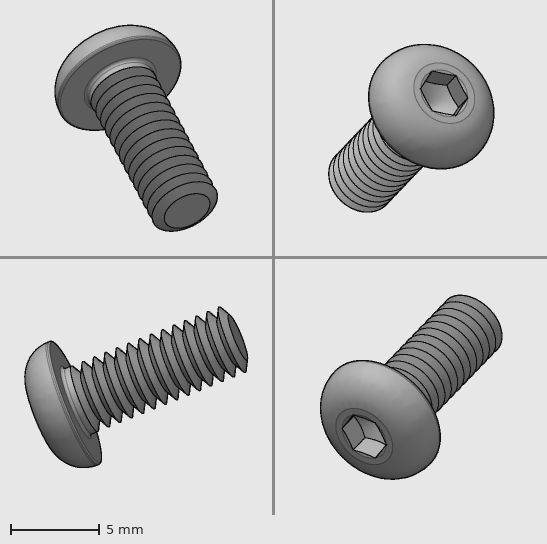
import cadquery as cq
import math

total_length = 12.2

head_diameter = 7.5
head_height = 2.2
face_diameter = head_diameter / 2
dome_height = 2.0
rim_round = 0.1

socket_across_flats = 2.53
socket_depth = 1.3
lead_in_diameter = 2.89
lead_in_half_angle = 75.0
drill_point_half_angle = 60.0

thread_diameter = 4.0
thread_length = 9.1
thread_count = 13
pitch = thread_length / thread_count
flank_angle = 60.0
neck_fillet = 0.2

head_radius = head_diameter / 2
face_radius = face_diameter / 2
crest_radius = thread_diameter / 2
root_radius = crest_radius - pitch / 2 * math.tan(math.radians(flank_angle))
thread_start = total_length - thread_length
socket_corner_radius = socket_across_flats / math.sqrt(3)


def make_body():
    """Revolve the head, neck and thread profile around X."""
    radial_rise = head_radius - face_radius
    dome_radius = (dome_height**2 + radial_rise**2) / (2 * radial_rise)
    dome_center_radius = head_radius - dome_radius
    face_edge_angle = math.atan2(face_radius - dome_center_radius, dome_height)
    middle_angle = (face_edge_angle + math.pi / 2) / 2
    dome_middle = (
        dome_height - dome_radius * math.cos(middle_angle),
        dome_center_radius + dome_radius * math.sin(middle_angle),
    )

    diagonal = math.sqrt(0.5)
    rim_middle = (
        head_height - rim_round * (1 - diagonal),
        head_radius - rim_round * (1 - diagonal),
    )
    neck_middle = (
        head_height + neck_fillet * (1 - diagonal),
        crest_radius + neck_fillet * (1 - diagonal),
    )

    profile = (
        cq.Workplane("XY")
        .lineTo(0, face_radius)
        .threePointArc(dome_middle, (dome_height, head_radius))
        .lineTo(head_height - rim_round, head_radius)
        .threePointArc(rim_middle, (head_height, head_radius - rim_round))
        .lineTo(head_height, crest_radius + neck_fillet)
        .threePointArc(neck_middle, (head_height + neck_fillet, crest_radius))
        .lineTo(thread_start - pitch / 2, crest_radius)
        .lineTo(thread_start, root_radius)
    )
    for index in range(thread_count):
        ring_start = thread_start + index * pitch
        profile = profile.lineTo(ring_start + pitch / 2, crest_radius)
        profile = profile.lineTo(ring_start + pitch, root_radius)
    profile = profile.lineTo(total_length, 0).close()
    return profile.revolve(360, (0, 0, 0), (1, 0, 0))


def make_socket():
    """Hexagon with corners on +Y and -Y, ending in a drill point."""
    point_length = socket_corner_radius / math.tan(math.radians(drill_point_half_angle))
    hexagon = (
        cq.Workplane("YZ")
        .polygon(6, 2 * socket_corner_radius)
        .extrude(socket_depth + point_length)
    )
    pointed_bore = (
        cq.Workplane("XY")
        .lineTo(0, socket_corner_radius)
        .lineTo(socket_depth, socket_corner_radius)
        .lineTo(socket_depth + point_length, 0)
        .close()
        .revolve(360, (0, 0, 0), (1, 0, 0))
    )
    lead_in_radius = lead_in_diameter / 2
    lead_in_length = lead_in_radius / math.tan(math.radians(lead_in_half_angle))
    lead_in = (
        cq.Workplane("XY")
        .lineTo(0, lead_in_radius)
        .lineTo(lead_in_length, 0)
        .close()
        .revolve(360, (0, 0, 0), (1, 0, 0))
    )
    return hexagon.intersect(pointed_bore).union(lead_in)


result = make_body().cut(make_socket())